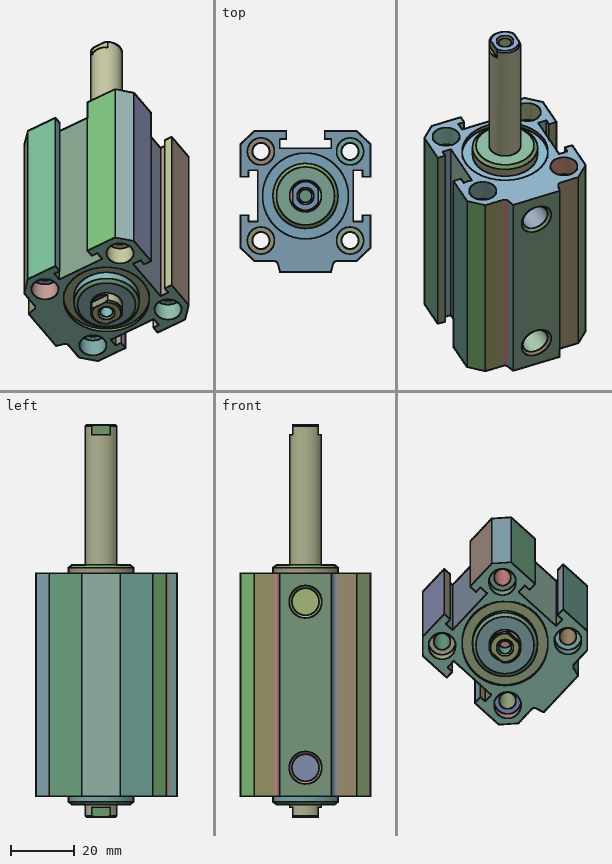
import cadquery as cq
import math


block_width = 41.0
block_height = 70.3
half_width = block_width / 2
corner_cut_x = 4.5
corner_cut_y = 4.2

boss_face_y = -24.0
boss_face_half_width = 8.0
boss_flank_angle = 15
boss_root_fillet = 1.2
boss_height = -half_width - boss_face_y
boss_root_half_width = boss_face_half_width + boss_height * math.tan(math.radians(boss_flank_angle))

slot_mouth_width = 12.0
slot_inner_width = 16.0
slot_lip_thickness = 2.6
slot_depth = 5.4
slot_angles = (0, 90, 180)

mount_hole_pitch = 28.0
mount_hole_diameter = 5.3
mount_bore_diameter = 8.5
mount_bore_depth = 7.0

recess_diameter = 27.0
recess_depth = 1.2
collar_diameter = 20.5
collar_height = 2.6
collar_chamfer_height = 0.93
collar_chamfer_width = 1.1

port_diameter = 8.5
port_mouth_diameter = 10.3
port_depth = 9.9
port_inset = 9.0

rod_diameter = 10.0
rod_length = 123.5
rod_bottom_z = -6.5
rod_top_z = rod_bottom_z + rod_length
rod_chamfer = 0.5
flat_spacing = 8.0
flat_length = 3.1
thread_hole_diameter = 4.1
thread_mouth_diameter = 5.3
thread_hole_depth = 9.9


def mirrored_about(z_middle, solid):
    """Copy of a solid, reflected in the horizontal plane at z_middle."""
    return solid.mirror("XY", (0, 0, z_middle))


def countersunk_cutter(hole_diameter, mouth_diameter, depth):
    """Blind hole along -Z from the origin, with a 45 degree countersink at its mouth."""
    sink_depth = (mouth_diameter - hole_diameter) / 2
    return (
        cq.Workplane("XZ")
        .moveTo(0, 0)
        .lineTo(mouth_diameter / 2, 0)
        .lineTo(hole_diameter / 2, -sink_depth)
        .lineTo(hole_diameter / 2, -depth)
        .lineTo(0, -depth)
        .close()
        .revolve(360, (0, 0, 0), (0, 1, 0))
    )


def make_block():
    """Extruded block with cut corners and the port boss."""
    right_half = [
        (boss_face_half_width, boss_face_y),
        (boss_root_half_width, -half_width),
        (half_width - corner_cut_x, -half_width),
        (half_width, -half_width + corner_cut_y),
        (half_width, half_width - corner_cut_y),
        (half_width - corner_cut_x, half_width),
    ]
    left_half = [(-x, y) for x, y in reversed(right_half)]
    block = cq.Workplane("XY").polyline(right_half + left_half).close().extrude(block_height)
    root_points = [
        (side * boss_root_half_width, -half_width, block_height / 2) for side in (-1, 1)
    ]
    for root_point in root_points:
        root_edge = cq.selectors.NearestToPointSelector(root_point)
        block = block.edges("|Z").edges(root_edge).fillet(boss_root_fillet)
    return block


def make_slot_cutter(angle):
    """T-slot for the +X face, turned about Z by the given angle."""
    mouth = cq.Workplane("XY").box(
        slot_depth, slot_mouth_width, block_height, centered=(False, True, False)
    )
    undercut = cq.Workplane("XY").box(
        slot_depth - slot_lip_thickness, slot_inner_width, block_height, centered=(False, True, False)
    )
    cutter = mouth.union(undercut).translate((half_width - slot_depth, 0, 0))
    return cutter.rotate((0, 0, 0), (0, 0, 1), angle)


def make_mount_hole_cutter():
    """Four through holes, counterbored from the top and from the bottom."""
    centres = cq.Workplane("XY").rect(mount_hole_pitch, mount_hole_pitch, forConstruction=True).vertices()
    through_holes = centres.circle(mount_hole_diameter / 2).extrude(block_height)
    bottom_bores = centres.circle(mount_bore_diameter / 2).extrude(mount_bore_depth)
    top_bores = mirrored_about(block_height / 2, bottom_bores)
    return through_holes.union(bottom_bores).union(top_bores)


def make_top_recess_cutter():
    return (
        cq.Workplane("XY", origin=(0, 0, block_height - recess_depth))
        .circle(recess_diameter / 2)
        .extrude(recess_depth)
    )


def make_top_collar():
    """Guide collar standing on the recess floor, chamfered at its outer rim."""
    radius = collar_diameter / 2
    floor_z = block_height - recess_depth
    top_z = block_height + collar_height
    return (
        cq.Workplane("XZ")
        .moveTo(0, floor_z)
        .lineTo(radius, floor_z)
        .lineTo(radius, top_z - collar_chamfer_height)
        .lineTo(radius - collar_chamfer_width, top_z)
        .lineTo(0, top_z)
        .close()
        .revolve(360, (0, 0, 0), (0, 1, 0))
    )


def make_port_cutter(z):
    """Countersunk blind port entering the boss face toward +Y."""
    cutter = countersunk_cutter(port_diameter, port_mouth_diameter, port_depth)
    return cutter.rotate((0, 0, 0), (1, 0, 0), 90).translate((0, boss_face_y, z))


def make_housing():
    housing = make_block()
    for angle in slot_angles:
        housing = housing.cut(make_slot_cutter(angle))
    housing = housing.cut(make_mount_hole_cutter())

    top_recess = make_top_recess_cutter()
    top_collar = make_top_collar()
    middle_z = block_height / 2
    housing = housing.cut(top_recess).cut(mirrored_about(middle_z, top_recess))
    housing = housing.union(top_collar).union(mirrored_about(middle_z, top_collar))

    for port_z in (port_inset, block_height - port_inset):
        housing = housing.cut(make_port_cutter(port_z))

    rod_bore = (
        cq.Workplane("XY", origin=(0, 0, rod_bottom_z))
        .circle(rod_diameter / 2)
        .extrude(rod_length)
    )
    return housing.cut(rod_bore)


def make_rod_end_cutter():
    """Wrench flats on both sides and a countersunk thread hole at the top end of the rod."""
    flats = (
        cq.Workplane("XY", origin=(0, 0, rod_top_z - flat_length))
        .rect(2 * rod_diameter, 2 * rod_diameter)
        .rect(flat_spacing, 2 * rod_diameter)
        .extrude(flat_length)
    )
    hole = countersunk_cutter(thread_hole_diameter, thread_mouth_diameter, thread_hole_depth)
    return flats.union(hole.translate((0, 0, rod_top_z)))


def make_rod():
    rod = (
        cq.Workplane("XY", origin=(0, 0, rod_bottom_z))
        .circle(rod_diameter / 2)
        .extrude(rod_length)
        .faces("<Z or >Z")
        .chamfer(rod_chamfer)
    )
    top_end = make_rod_end_cutter()
    bottom_end = mirrored_about(rod_bottom_z + rod_length / 2, top_end)
    return rod.cut(top_end).cut(bottom_end)


housing = make_housing()
rod = make_rod()
result = cq.Compound.makeCompound([housing.val(), rod.val()])